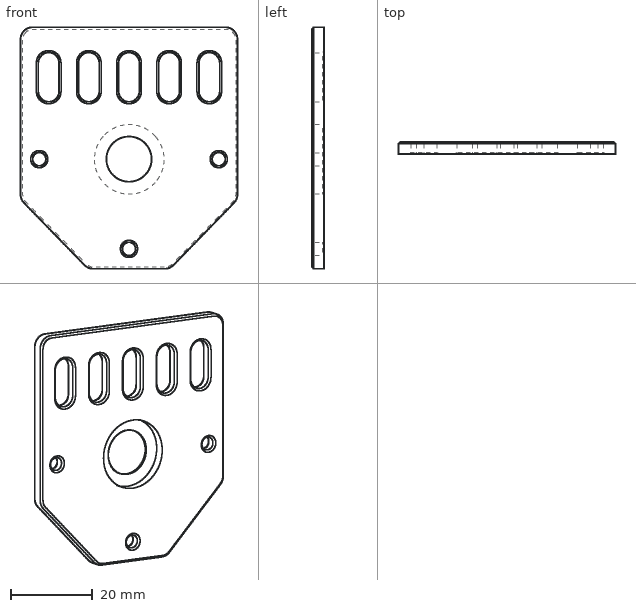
import cadquery as cq

WIDTH = 53.0
HEIGHT = 59.0
THICKNESS = 3.0
CORNER_RADIUS = 3.0
BEVEL_WIDTH = 16.5
BEVEL_HEIGHT = 17.0
EDGE_CHAMFER = 0.5

SLOT_COUNT = 5
SLOT_WIDTH = 5.0
SLOT_LENGTH = 12.0
SLOT_PITCH = 9.8
SLOT_DROP = 12.2

BORE_DIAMETER = 11.0
BORE_DROP = 32.2
RECESS_DIAMETER = 17.0
LIP_THICKNESS = 0.5

SCREW_DIAMETER = 3.2
SCREW_RADIUS = 21.9

TOP = HEIGHT / 2
FRONT = -THICKNESS / 2
SLOT_Z = TOP - SLOT_DROP
BORE_Z = TOP - BORE_DROP


def plane_at_depth(depth):
    """Workplane parallel to the front face, at a depth behind it: local x is X, local y is Z."""
    return cq.Workplane("XZ", origin=(0, FRONT + depth, 0))


def make_plate():
    """Rounded plate with bevelled lower corners and a chamfered back rim."""
    side = WIDTH / 2
    foot = side - BEVEL_WIDTH
    shoulder = -TOP + BEVEL_HEIGHT
    outline = [
        (-side, TOP),
        (side, TOP),
        (side, shoulder),
        (foot, -TOP),
        (-foot, -TOP),
        (-side, shoulder),
    ]
    plate = plane_at_depth(0).polyline(outline).close().extrude(-THICKNESS)
    plate = plate.edges("|Y").fillet(CORNER_RADIUS)
    return plate.faces(">Y").edges().chamfer(EDGE_CHAMFER)


def cut_chamfered_opening(plate, x, z, width, length):
    """Cut an upright slot, or a round hole if length equals width, flared at both faces."""

    def profile(depth, margin):
        plane = plane_at_depth(depth).center(x, z)
        if length == width:
            return plane.circle(width / 2 + margin)
        return plane.slot2D(length + 2 * margin, width + 2 * margin, 90)

    flare_angle = 45
    opening = profile(0, 0).extrude(-THICKNESS)
    front_flare = profile(0, EDGE_CHAMFER).extrude(-EDGE_CHAMFER, taper=flare_angle)
    back_flare = profile(THICKNESS, EDGE_CHAMFER).extrude(EDGE_CHAMFER, taper=flare_angle)
    return plate.cut(opening).cut(front_flare).cut(back_flare)


def cut_slots(plate):
    """Cut the evenly spaced row of slots, centred on the plate."""
    first_x = -SLOT_PITCH * (SLOT_COUNT - 1) / 2
    for i in range(SLOT_COUNT):
        plate = cut_chamfered_opening(plate, first_x + i * SLOT_PITCH, SLOT_Z, SLOT_WIDTH, SLOT_LENGTH)
    return plate


def cut_bore(plate):
    """Cut the central bore through the lip and the recess behind it."""
    bore = plane_at_depth(0).center(0, BORE_Z).circle(BORE_DIAMETER / 2).extrude(-THICKNESS)
    recess_floor = plane_at_depth(LIP_THICKNESS).center(0, BORE_Z)
    recess = recess_floor.circle(RECESS_DIAMETER / 2).extrude(LIP_THICKNESS - THICKNESS)
    return plate.cut(bore).cut(recess)


def cut_screw_holes(plate):
    """Cut the screw holes left of, right of and below the bore."""
    centres = [
        (-SCREW_RADIUS, BORE_Z),
        (SCREW_RADIUS, BORE_Z),
        (0, BORE_Z - SCREW_RADIUS),
    ]
    for x, z in centres:
        plate = cut_chamfered_opening(plate, x, z, SCREW_DIAMETER, SCREW_DIAMETER)
    return plate


result = make_plate()
result = cut_slots(result)
result = cut_bore(result)
result = cut_screw_holes(result)